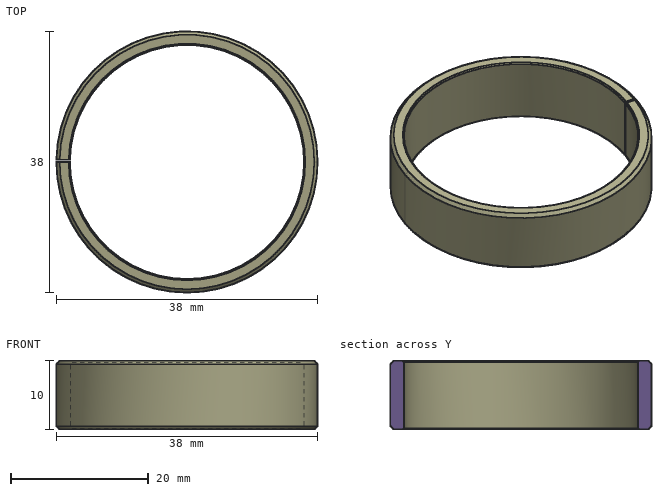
import cadquery as cq
import math

outer_diameter = 38.0
bore_diameter = 34.0
height = 10.0
outer_chamfer = 0.5
bore_chamfer = 0.2
slit_angle = 1.0

outer_radius = outer_diameter / 2
bore_radius = bore_diameter / 2


def ring():
    """Revolve the wall section, chamfered at all four corners, about Z."""
    section = (
        cq.Workplane("XZ")
        .moveTo(bore_radius + bore_chamfer, 0)
        .lineTo(outer_radius - outer_chamfer, 0)
        .lineTo(outer_radius, outer_chamfer)
        .lineTo(outer_radius, height - outer_chamfer)
        .lineTo(outer_radius - outer_chamfer, height)
        .lineTo(bore_radius + bore_chamfer, height)
        .lineTo(bore_radius, height - bore_chamfer)
        .lineTo(bore_radius, bore_chamfer)
        .close()
    )
    return section.revolve(360, (0, 0, 0), (0, 1, 0))


def slit():
    """Full-height wedge from the ring axis out past the -X wall."""
    reach = outer_diameter
    mouth = reach * math.tan(math.radians(slit_angle))
    return (
        cq.Workplane("XY")
        .polyline([(0, 0), (-reach, 0), (-reach, mouth)])
        .close()
        .extrude(height)
    )


result = ring().cut(slit())